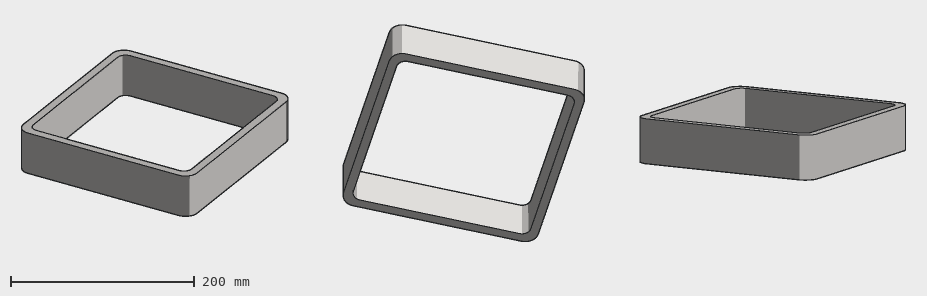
import cadquery as cq

outer_side = 220.0
height = 50.0
wall = 10.0
outer_corner_radius = 15.0
inner_corner_radius = 10.0

inner_side = outer_side - 2 * wall


def rounded_block(side, corner_radius):
    """Square block with rounded vertical edges, standing on the XY plane."""
    block = cq.Workplane("XY").rect(side, side).extrude(height)
    return block.edges("|Z").fillet(corner_radius)


outer_block = rounded_block(outer_side, outer_corner_radius)
opening = rounded_block(inner_side, inner_corner_radius)

result = outer_block.cut(opening)